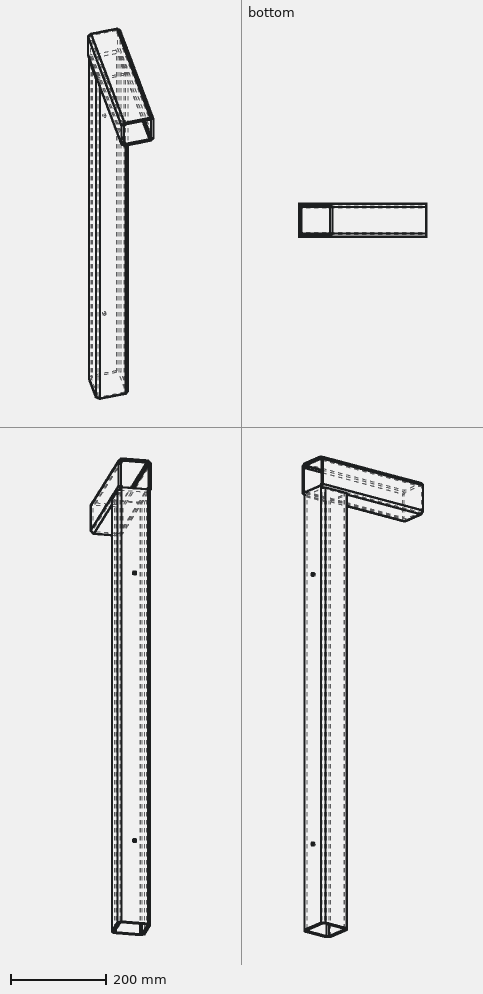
import cadquery as cq
import math

tube_width = 70.0
wall = 5.0
corner_chamfer = 6.7
inner_chamfer = corner_chamfer - (2 - math.sqrt(2)) * wall

total_height = 1040.0
beam_length = 267.0
post_height = total_height - tube_width

hole_diameter = 6.3
lower_hole_height = 184.0
hole_spacing = 601.0


def square_tube(length):
    """Return a hollow tube along +Z, centred on the Z axis, with its base at Z = 0."""
    bore_width = tube_width - 2 * wall
    outside = cq.Workplane("XY").rect(tube_width, tube_width).extrude(length)
    outside = outside.edges("|Z").chamfer(corner_chamfer)
    bore = cq.Workplane("XY").rect(bore_width, bore_width).extrude(length)
    bore = bore.edges("|Z").chamfer(inner_chamfer)
    return outside.cut(bore)


post = square_tube(post_height)

beam = (
    square_tube(beam_length)
    .rotate((0, 0, 0), (0, 1, 0), 90)
    .translate((-tube_width / 2, 0, post_height + tube_width / 2))
)

result = post.union(beam)

for hole_height in (lower_hole_height, lower_hole_height + hole_spacing):
    drill = (
        cq.Workplane("YZ", origin=(-tube_width / 2, 0, hole_height))
        .circle(hole_diameter / 2)
        .extrude(2 * wall)
    )
    result = result.cut(drill)